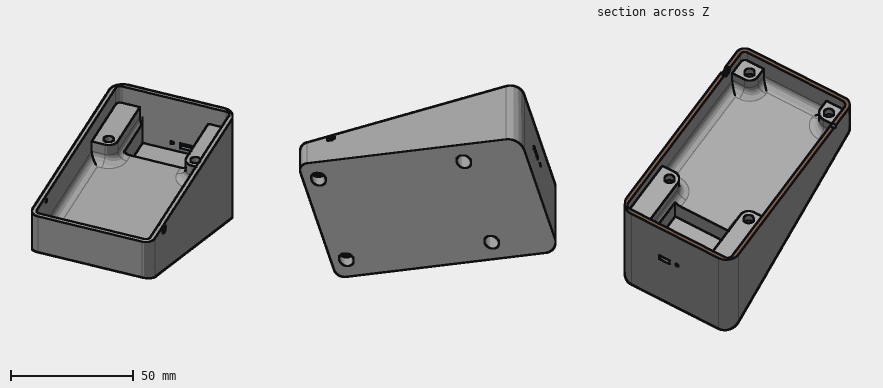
import cadquery as cq
import math

width = 53.7
length = 95.05
back_height = 53.1
base_angle = 20.0
front_height = back_height - length * math.tan(math.radians(base_angle))
wall = 2.0
front_corner_radius = 4.0
back_corner_radius = 6.0

floor_depth = 17.5
cavity_corner_radius = 2.0
floor_fillet = 4.0
inner_half_width = width / 2 - wall
inner_back = length - wall

screw_x = 19.0
front_screw_y = 6.6
back_screw_y = 68.6
boss_radius = 4.0
boss_height = 9.0
screw_hole_diameter = 4.2
screw_head_diameter = 6.0
screw_seat = 4.0
boss_edge_x = screw_x - boss_radius

recess_width = 27.6
recess_front = 72.6
recess_depth = 9.0

slot_width = 5.0
slot_height = 2.5
slot_x = 5.0
slot_above_recess = 3.1
back_hole_diameter = 1.4
back_hole_x = -0.95
back_hole_above_recess = 3.7

side_hole_y = 14.4
side_hole_depth = 2.85
side_hole_diameter = 1.4
large_side_hole_diameter = 3.3
counterbore_diameter = 4.2
counterbore_depth = 0.95


def make_body():
    """Wedge with a level rim, a sloping base and rounded upright corners."""
    profile = [(0, 0), (length, 0), (length, -back_height), (0, -front_height)]
    wedge = cq.Workplane("YZ").polyline(profile).close().extrude(width / 2, both=True)
    wedge = wedge.edges("|Z and <Y").fillet(front_corner_radius)
    return wedge.edges("|Z and >Y").fillet(back_corner_radius)


def make_boss(side, y_start, y_end, rounded_edge):
    """Boss against one side wall, with its free corner rounded."""
    x_outer = side * width / 2
    x_inner = side * boss_edge_x
    middle = ((x_outer + x_inner) / 2, (y_start + y_end) / 2, -floor_depth)
    boss = (
        cq.Workplane("XY", origin=middle)
        .box(width / 2 - boss_edge_x, y_end - y_start, boss_height, centered=(True, True, False))
    )
    inner_side = "<X" if side > 0 else ">X"
    return boss.edges(f"|Z and {inner_side} and {rounded_edge}").fillet(boss_radius)


def make_cavity():
    """Space inside the walls, less the four bosses, with the floor edges rounded."""
    cavity = (
        cq.Workplane("XY", origin=(0, length / 2, -floor_depth))
        .box(2 * inner_half_width, length - 2 * wall, floor_depth, centered=(True, True, False))
        .edges("|Z")
        .fillet(cavity_corner_radius)
    )
    for side in (-1, 1):
        cavity = cavity.cut(make_boss(side, 0, front_screw_y + boss_radius, ">Y"))
        cavity = cavity.cut(make_boss(side, back_screw_y - boss_radius, length, "<Y"))
    return cavity.faces("<Z").edges().fillet(floor_fillet)


def make_recess():
    """Rectangular recess below the floor, also clearing the rounding of the back floor edge."""
    recess_length = inner_back - recess_front
    recess_middle = (recess_front + inner_back) / 2
    return (
        cq.Workplane("XY", origin=(0, recess_middle, -floor_depth - recess_depth))
        .box(recess_width, recess_length, recess_depth + floor_fillet, centered=(True, True, False))
    )


def make_screw_holes():
    """Clearance holes through the bosses, widened from below for the heads."""
    places = [(side * screw_x, y) for side in (-1, 1) for y in (front_screw_y, back_screw_y)]
    boss_top = boss_height - floor_depth
    below = cq.Workplane("XY", origin=(0, 0, -back_height)).pushPoints(places)
    shanks = below.circle(screw_hole_diameter / 2).extrude(back_height)
    heads = below.circle(screw_head_diameter / 2).extrude(back_height + boss_top - screw_seat)
    return shanks.union(heads)


def make_back_openings():
    """Slot and small round hole through the back wall, just above the recess floor."""
    back = cq.Workplane("XZ", origin=(0, length, -floor_depth - recess_depth))
    slot = back.center(slot_x, slot_above_recess).rect(slot_width, slot_height).extrude(wall)
    hole = back.center(back_hole_x, back_hole_above_recess).circle(back_hole_diameter / 2).extrude(wall)
    return slot.union(hole)


def make_side_holes():
    """Small hole through the left wall, facing a larger one counterbored from the inside."""
    side = cq.Workplane("YZ", origin=(0, side_hole_y, -side_hole_depth))
    small = side.circle(side_hole_diameter / 2).extrude(-width / 2)
    large = side.circle(large_side_hole_diameter / 2).extrude(width / 2)
    counterbore = side.circle(counterbore_diameter / 2).extrude(inner_half_width + counterbore_depth)
    return small.union(large).union(counterbore)


result = (
    make_body()
    .cut(make_cavity())
    .cut(make_recess())
    .cut(make_screw_holes())
    .cut(make_back_openings())
    .cut(make_side_holes())
)